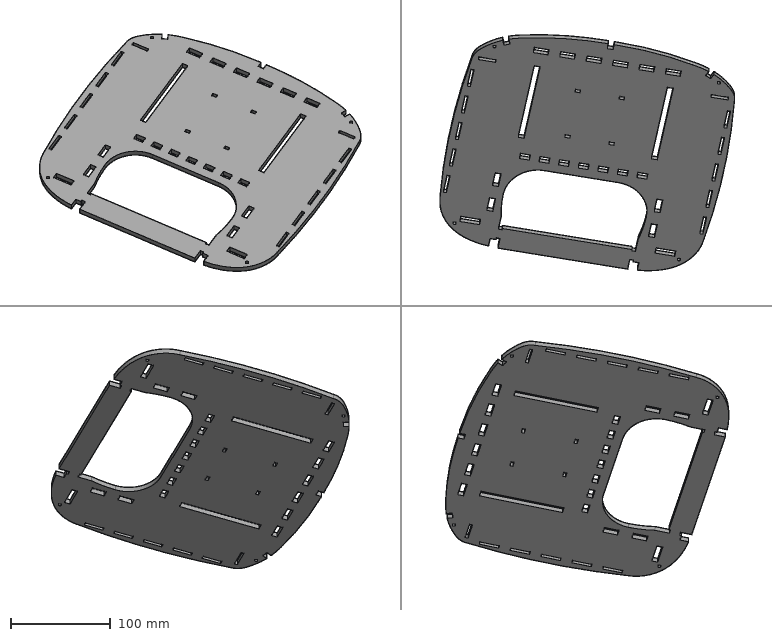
import cadquery as cq
import math

thickness = 6.0
plate_length = 259.0
half_width = 278.59 / 2
cut_height = 3 * thickness

side_start = (134.6, 48.0)
side_widest = (half_width, 131.0)
side_end = (134.2, 215.0)
rear_corner_points = [(132.0, 223.3), (124.8, 231.7), (108.0, 243.0), (81.0, 251.2), (36.5, 257.7)]
rear_apex = (0.0, plate_length)
front_corner_points = [(130.8, 33.0), (119.0, 16.8), (98.0, 4.9)]
front_corner_end = (76.0, 0.7)

bar_half_width = 66.3
bar_rear_y = 23.8
notch_rear_y = 9.6
relief_half_width = 70.0
relief_front_y = 11.5
relief_rear_y = 22.3

opening_rear_y = 99.0
opening_flat_half_width = 38.0
opening_corner_radius = 35.0
opening_corner_center = (opening_flat_half_width, opening_rear_y - opening_corner_radius)
opening_widest = (opening_flat_half_width + opening_corner_radius, opening_corner_center[1])
opening_shoulder = tuple(c + opening_corner_radius / math.sqrt(2) for c in opening_corner_center)
opening_side_middle = (72.3, 51.0)
opening_side_end = (70.0, 37.0)

edge_notch_width = 6.0
edge_notch_depth = 6.0
corner_notch_floor = (102.8, 238.8)
corner_notch_angle = 24.0

fixing_hole_diameter = 3.0
fixing_hole_x = 114.6
fixing_hole_ys = (21.0, 234.2)

side_slot_size = (3.0, 20.0)
side_slot_x = 131.0
side_slot_middle_y = 129.0
side_slot_pitch = 32.0
side_slot_count = 5

rear_slot_size = (15.0, 6.0)
rear_slot_y = 237.5
rear_slot_pitch = 27.0
rear_slot_count = 6

middle_slot_size = (10.0, 6.0)
middle_slot_y = 111.5
middle_slot_pitch = 20.0
middle_slot_count = 7

long_slot_size = (6.0, 86.0)
long_slot_center = (68.0, 176.0)

opening_slot_size = (6.0, 15.0)
opening_slot_x = 82.6
opening_slot_ys = (49.5, 79.5)

rear_corner_slot_size = (17.5, 3.0)
rear_corner_slot_center = (118.8, 217.5)

front_corner_slot_size = (20.0, 6.0)
front_corner_slot_center = (99.7, 27.0)

small_slot_size = (5.0, 3.0)
small_slot_x = 22.5
small_slot_ys = (143.2, 198.0)


def mirrored(point):
    return (-point[0], point[1])


def both_sides(x, ys):
    """Points at +x and -x for every y."""
    return [(side * x, y) for side in (1, -1) for y in ys]


def row(count, pitch):
    """Evenly spaced positions centred on zero."""
    return [(i - (count - 1) / 2) * pitch for i in range(count)]


def plate_blank():
    """Plate with the outer outline, including the notches beside the front bar."""
    rear_curve = rear_corner_points + [rear_apex] + [mirrored(p) for p in reversed(rear_corner_points)]
    left_front_curve = [mirrored(p) for p in front_corner_points]
    outline = (
        cq.Workplane("XY")
        .moveTo(bar_half_width, 0)
        .lineTo(bar_half_width, relief_front_y)
        .lineTo(relief_half_width, relief_front_y)
        .lineTo(relief_half_width, notch_rear_y)
        .lineTo(front_corner_end[0], notch_rear_y)
        .lineTo(*front_corner_end)
        .spline(list(reversed(front_corner_points)) + [side_start], includeCurrent=True)
        .threePointArc(side_widest, side_end)
        .spline(rear_curve + [mirrored(side_end)], includeCurrent=True)
        .threePointArc(mirrored(side_widest), mirrored(side_start))
        .spline(left_front_curve + [mirrored(front_corner_end)], includeCurrent=True)
        .lineTo(-front_corner_end[0], notch_rear_y)
        .lineTo(-relief_half_width, notch_rear_y)
        .lineTo(-relief_half_width, relief_front_y)
        .lineTo(-bar_half_width, relief_front_y)
        .lineTo(-bar_half_width, 0)
        .close()
    )
    return outline.extrude(thickness)


def front_opening():
    """Arched opening behind the front bar, with a small relief at each end of the bar."""
    outline = (
        cq.Workplane("XY")
        .moveTo(bar_half_width, bar_rear_y)
        .lineTo(bar_half_width, relief_rear_y)
        .lineTo(relief_half_width, relief_rear_y)
        .lineTo(*opening_side_end)
        .threePointArc(opening_side_middle, opening_widest)
        .threePointArc(opening_shoulder, (opening_flat_half_width, opening_rear_y))
        .lineTo(-opening_flat_half_width, opening_rear_y)
        .threePointArc(mirrored(opening_shoulder), mirrored(opening_widest))
        .threePointArc(mirrored(opening_side_middle), mirrored(opening_side_end))
        .lineTo(-relief_half_width, relief_rear_y)
        .lineTo(-bar_half_width, relief_rear_y)
        .lineTo(-bar_half_width, bar_rear_y)
        .close()
    )
    return outline.extrude(thickness)


def edge_notch(floor, angle):
    """Square notch cutter standing on its floor midpoint, opening to the rear, turned about Z."""
    block = cq.Workplane("XY").box(
        edge_notch_width, 2 * edge_notch_depth, cut_height, centered=(True, False, True)
    )
    return block.rotate((0, 0, 0), (0, 0, 1), angle).translate((floor[0], floor[1], 0))


def slots(size, centers):
    """Rectangular cutters of one size."""
    return cq.Workplane("XY").pushPoints(centers).rect(*size).extrude(thickness)


def fixing_holes():
    centers = both_sides(fixing_hole_x, fixing_hole_ys)
    return cq.Workplane("XY").pushPoints(centers).circle(fixing_hole_diameter / 2).extrude(thickness)


side_slot_ys = [side_slot_middle_y + offset for offset in row(side_slot_count, side_slot_pitch)]
slot_groups = [
    (side_slot_size, both_sides(side_slot_x, side_slot_ys)),
    (rear_slot_size, [(x, rear_slot_y) for x in row(rear_slot_count, rear_slot_pitch)]),
    (middle_slot_size, [(x, middle_slot_y) for x in row(middle_slot_count, middle_slot_pitch)]),
    (long_slot_size, both_sides(long_slot_center[0], [long_slot_center[1]])),
    (opening_slot_size, both_sides(opening_slot_x, opening_slot_ys)),
    (rear_corner_slot_size, both_sides(rear_corner_slot_center[0], [rear_corner_slot_center[1]])),
    (front_corner_slot_size, both_sides(front_corner_slot_center[0], [front_corner_slot_center[1]])),
    (small_slot_size, both_sides(small_slot_x, small_slot_ys)),
]

result = plate_blank().cut(front_opening()).cut(fixing_holes())
for slot_size, slot_centers in slot_groups:
    result = result.cut(slots(slot_size, slot_centers))

result = result.cut(edge_notch((0, plate_length - edge_notch_depth), 0))
result = result.cut(edge_notch(corner_notch_floor, -corner_notch_angle))
result = result.cut(edge_notch(mirrored(corner_notch_floor), corner_notch_angle))